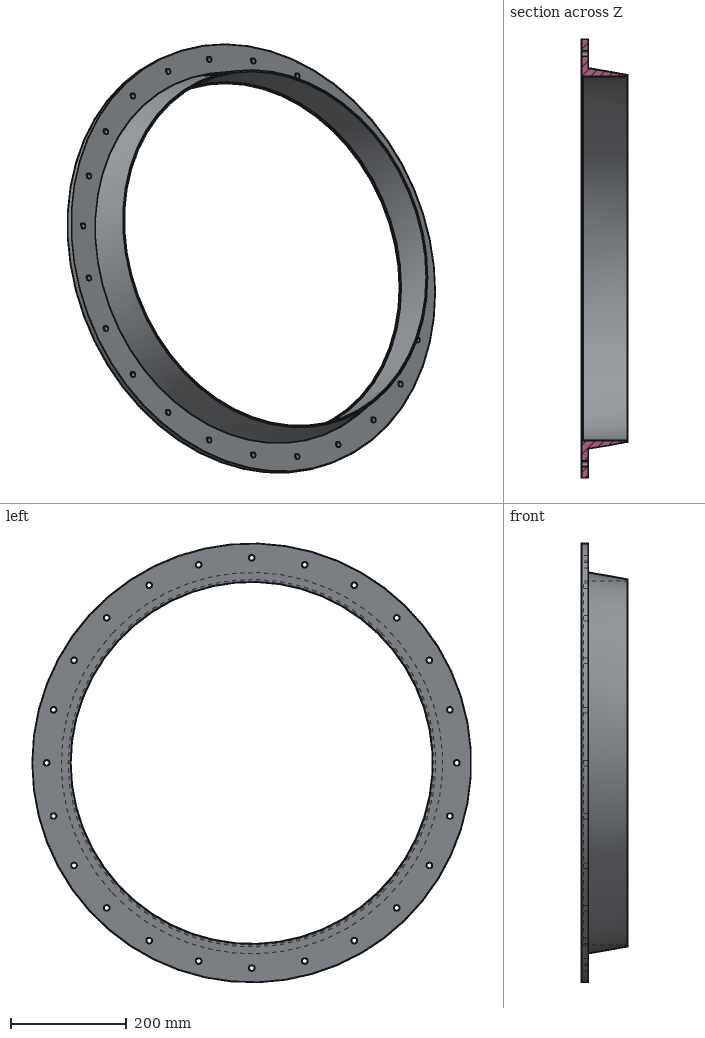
import cadquery as cq

flange_diameter = 760.0
flange_thickness = 12.0

bore_diameter = 630.0
lip_diameter = 626.0
lip_thickness = 3.0

total_length = 80.0
collar_root_diameter = 660.0
collar_end_diameter = 636.0

bolt_hole_count = 24
bolt_hole_diameter = 9.5
bolt_circle_diameter = 710.0


def ring_body():
    """Flange, tapered collar and lipped bore as one profile revolved about X."""
    flange_radius = flange_diameter / 2
    bore_radius = bore_diameter / 2
    lip_radius = lip_diameter / 2
    profile = (
        cq.Workplane("XY")
        .moveTo(0, lip_radius)
        .lineTo(0, flange_radius)
        .lineTo(flange_thickness, flange_radius)
        .lineTo(flange_thickness, collar_root_diameter / 2)
        .lineTo(total_length, collar_end_diameter / 2)
        .lineTo(total_length, bore_radius)
        .lineTo(lip_thickness, bore_radius)
        .lineTo(lip_thickness, lip_radius)
        .close()
    )
    return profile.revolve(360, (0, 0, 0), (1, 0, 0))


def bolt_holes():
    """Cutters for the evenly spaced through holes in the flange."""
    return (
        cq.Workplane("YZ")
        .polarArray(bolt_circle_diameter / 2, 0, 360, bolt_hole_count)
        .circle(bolt_hole_diameter / 2)
        .extrude(flange_thickness)
    )


result = ring_body().cut(bolt_holes())